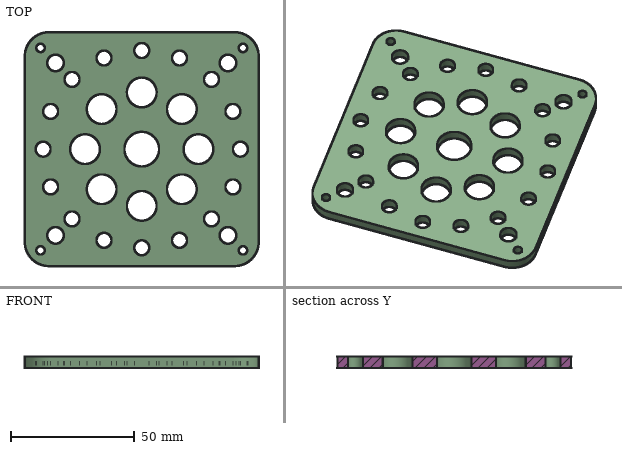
import cadquery as cq

side = 95.0
thickness = 4.75
corner_radius = 10.0

center_diameter = 14.0
inner_ring_radius = 23.0
inner_ring_diameter = 12.0
inner_ring_count = 8
outer_ring_radius = 40.0
outer_ring_diameter = 6.0
outer_ring_count = 16

corner_hole_spacing = 69.9
corner_hole_diameter = 6.65
edge_hole_spacing = 82.1
edge_hole_diameter = 3.3


def drill_ring(body, radius, count, diameter):
    """Drill equally spaced through holes on a circle about the centre."""
    return body.faces(">Z").workplane(origin=(0, 0, 0)).polarArray(radius, 0, 360, count).hole(diameter)


def drill_square(body, spacing, diameter):
    """Drill four through holes at the corners of a centred square."""
    return body.faces(">Z").workplane(origin=(0, 0, 0)).rarray(spacing, spacing, 2, 2).hole(diameter)


plate = cq.Workplane("XY").box(side, side, thickness).edges("|Z").fillet(corner_radius)
plate = plate.faces(">Z").workplane(origin=(0, 0, 0)).hole(center_diameter)
plate = drill_ring(plate, inner_ring_radius, inner_ring_count, inner_ring_diameter)
plate = drill_ring(plate, outer_ring_radius, outer_ring_count, outer_ring_diameter)
plate = drill_square(plate, corner_hole_spacing, corner_hole_diameter)
plate = drill_square(plate, edge_hole_spacing, edge_hole_diameter)

result = plate